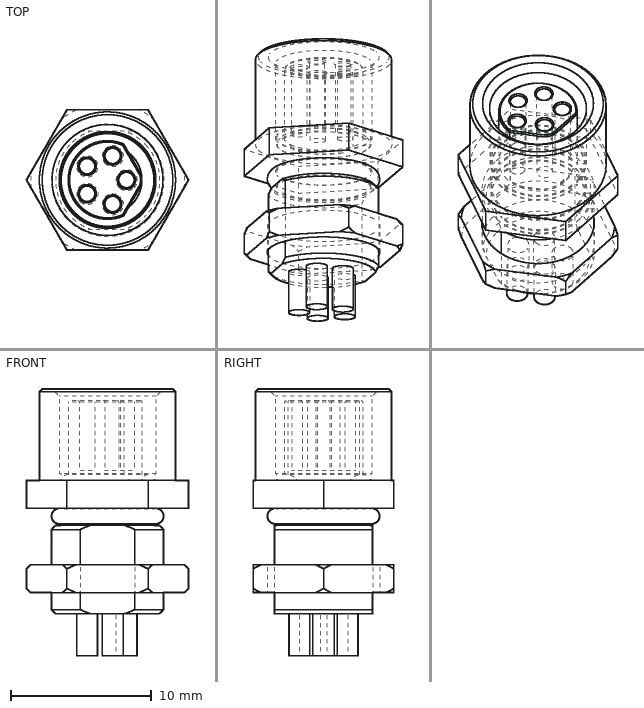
import cadquery as cq
import math

shank_bottom = 3.0
nut_bottom = 4.5
nut_top = 6.5
shank_top = 9.3
flange_bottom = 10.5
flange_top = 12.5
total_height = 19.0

hex_across_flats = 10.0
hex_across_corners = hex_across_flats / math.cos(math.radians(30))
nut_corner_chamfer = 0.3

shank_diameter = 8.0
shank_across_flats = 7.0
shank_chamfer = 0.3
neck_diameter = 6.7

seal_outer_diameter = 8.0
seal_thickness = 1.1

shell_diameter = 9.7
shell_chamfer = 0.2
recess_diameter = 6.9
recess_chamfer = 0.5
ring_seat_diameter = 6.7
ring_seat_depth = 0.5
recess_floor = flange_top

inner_ring_outer_diameter = 6.6
inner_ring_thickness = 0.85

insert_diameter = 5.6
insert_top = total_height - 0.8
insert_chamfer = 0.1
key_nose_radius = 1.1
key_flat_angle = 30.0

contact_circle_radius = 1.75
contact_angles = [78.0, 146.0, 214.0, 282.0]
key_contact_x = 1.35
contact_hole_diameter = 1.1
contact_hole_chamfer = 0.1
contact_hole_depth = 5.0
wire_diameter = 1.5


def cylinder(diameter, bottom, top):
    return cq.Workplane("XY").workplane(offset=bottom).circle(diameter / 2).extrude(top - bottom)


def hexagon(bottom, top):
    return cq.Workplane("XY").workplane(offset=bottom).polygon(6, hex_across_corners).extrude(top - bottom)


def round_ring(outer_diameter, thickness, center_height):
    center_radius = (outer_diameter - thickness) / 2
    return (
        cq.Workplane("XZ")
        .center(center_radius, center_height)
        .circle(thickness / 2)
        .revolve(360, (-center_radius, 0), (-center_radius, 1))
    )


def contact_positions():
    positions = [(key_contact_x, 0)]
    for angle in contact_angles:
        turn = math.radians(angle)
        positions.append((contact_circle_radius * math.cos(turn), contact_circle_radius * math.sin(turn)))
    return positions


def make_shank():
    rod = cylinder(shank_diameter, shank_bottom, shank_top).faces("<Z or >Z").chamfer(shank_chamfer)
    flats = (
        cq.Workplane("XY")
        .workplane(offset=shank_bottom)
        .rect(shank_diameter, shank_across_flats)
        .extrude(shank_top - shank_bottom)
    )
    neck = cylinder(neck_diameter, shank_top, flange_bottom)
    return rod.intersect(flats).union(neck)


def make_nut():
    corner_cutter = cylinder(hex_across_corners, nut_bottom, nut_top)
    corner_cutter = corner_cutter.faces("<Z or >Z").chamfer(nut_corner_chamfer)
    nut = hexagon(nut_bottom, nut_top).intersect(corner_cutter)
    return nut.cut(cylinder(shank_diameter, nut_bottom, nut_top))


def make_seal():
    return round_ring(seal_outer_diameter, seal_thickness, flange_bottom - seal_thickness / 2)


def make_shell():
    seat_top = recess_floor + ring_seat_depth
    shell = cylinder(shell_diameter, flange_top, total_height)
    shell = shell.faces(">Z").chamfer(shell_chamfer)
    shell = shell.cut(cylinder(ring_seat_diameter, recess_floor, seat_top))
    shell = shell.cut(cylinder(recess_diameter, seat_top, total_height))
    return shell.faces(">Z").edges(cq.selectors.RadiusNthSelector(0)).chamfer(recess_chamfer)


def make_insert():
    """Round insert whose +X side narrows along two flats to a nose around the key contact."""
    radius = insert_diameter / 2
    tilt = math.radians(key_flat_angle)
    flat_distance = key_contact_x * math.cos(tilt) + key_nose_radius
    shoulder_angle = tilt + math.acos(flat_distance / radius)
    shoulder_x = radius * math.cos(shoulder_angle)
    shoulder_y = radius * math.sin(shoulder_angle)
    nose_x = key_contact_x + key_nose_radius * math.cos(tilt)
    nose_y = key_nose_radius * math.sin(tilt)
    return (
        cq.Workplane("XY")
        .workplane(offset=recess_floor)
        .moveTo(shoulder_x, shoulder_y)
        .threePointArc((-radius, 0), (shoulder_x, -shoulder_y))
        .lineTo(nose_x, -nose_y)
        .threePointArc((key_contact_x + key_nose_radius, 0), (nose_x, nose_y))
        .close()
        .extrude(insert_top - recess_floor)
        .faces(">Z")
        .chamfer(insert_chamfer)
    )


def make_inner_ring():
    return round_ring(inner_ring_outer_diameter, inner_ring_thickness, recess_floor)


def make_contact_holes():
    return (
        cq.Workplane("XY")
        .workplane(offset=insert_top)
        .pushPoints(contact_positions())
        .circle(contact_hole_diameter / 2)
        .extrude(-contact_hole_depth)
    )


def make_hole_mouths():
    mouth_diameter = contact_hole_diameter + 2 * contact_hole_chamfer
    return (
        cq.Workplane("XY")
        .workplane(offset=insert_top)
        .pushPoints(contact_positions())
        .circle(mouth_diameter / 2)
        .extrude(-contact_hole_chamfer, taper=45)
    )


def make_wires():
    return (
        cq.Workplane("XY")
        .pushPoints(contact_positions())
        .circle(wire_diameter / 2)
        .extrude(shank_bottom)
    )


result = (
    make_shank()
    .union(make_nut())
    .union(hexagon(flange_bottom, flange_top))
    .union(make_seal())
    .union(make_shell())
    .union(make_insert())
    .union(make_inner_ring())
    .cut(make_contact_holes())
    .cut(make_hole_mouths())
    .union(make_wires())
)